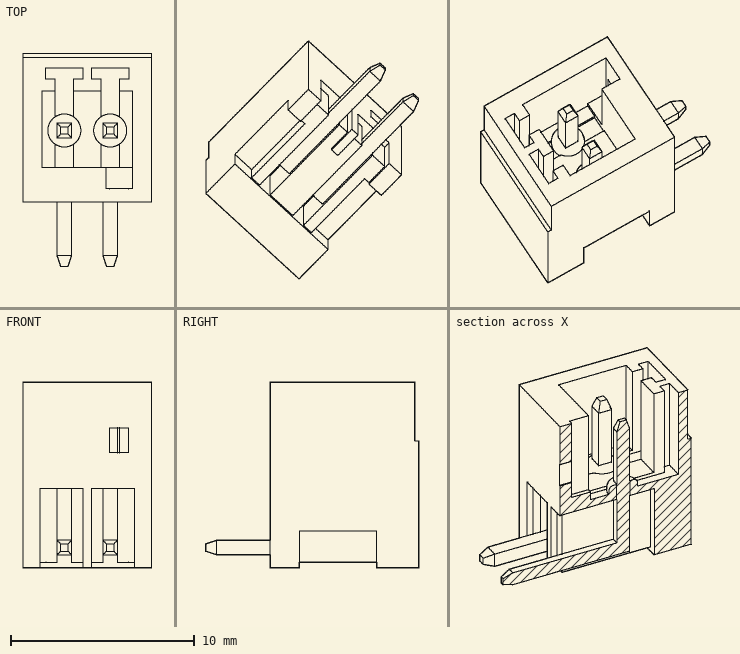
import cadquery as cq


OVERALL_DEPTH = 11.6
HOUSING_WIDTH = 7.0
HOUSING_DEPTH = 8.1
HOUSING_HEIGHT = 10.1
BACK_STEP_DEPTH = 0.22
BACK_STEP_HEIGHT = 3.2

PIN_PITCH = 2.49
PIN_WIDTH = 0.8
PIN_TIP_WIDTH = 0.41
PIN_TIP_LENGTH = 0.6
PIN_PROJECTION = OVERALL_DEPTH - HOUSING_DEPTH
PIN_UPRIGHT_Y = 3.9
PIN_LEG_Z = 1.1
PIN_TOP = 9.3
PIN_CENTRES = (-PIN_PITCH / 2, PIN_PITCH / 2)
PIN_BACK_Y = PIN_UPRIGHT_Y + PIN_WIDTH / 2

CAVITY_WIDTH = 4.94
CAVITY_FRONT_Y = 1.89
CAVITY_BACK_Y = 6.04
CAVITY_FLOOR = 5.0

KEY_WIDTH = 1.46
KEY_FRONT_Y = 0.73
KEY_FLOOR_RISE = 0.3
WINDOW_LEFT = 1.21
WINDOW_WIDTH = 1.04
WINDOW_BOTTOM = 6.26
WINDOW_HEIGHT = 1.35

CHANNEL_WIDTH = 1.0
CHANNEL_SINK = 0.2
CHANNEL_FLOOR = CAVITY_FLOOR - CHANNEL_SINK
CHANNEL_HEAD_WIDTH = 2.03
CHANNEL_HEAD_FRONT_Y = 6.69
CHANNEL_HEAD_BACK_Y = 7.28

BOSS_DIAMETER = 1.8
BOSS_ROUNDING = 0.3
BOSS_TOP = CAVITY_FLOOR + BOSS_ROUNDING

FRONT_RECESS_INNER = 0.23
FRONT_RECESS_OUTER = 2.56
FRONT_RECESS_DEPTH = 0.35
FRONT_RECESS_TOP = 4.3
UNDERSIDE_HEIGHT = 0.3
FOOT_FRONT_DEPTH = 1.6
FOOT_BACK_Y = 5.8
SIDE_CUT_DEPTH = 1.25
SIDE_CUT_TOP = 2.0


def block(x_range, y_range, z_range):
    """Box between two limits along each axis."""
    (x0, x1), (y0, y1), (z0, z1) = x_range, y_range, z_range
    return cq.Workplane("XY").box(x1 - x0, y1 - y0, z1 - z0, centered=False).translate((x0, y0, z0))


def around(centre, width):
    """Limits of a width centred on a position."""
    return centre - width / 2, centre + width / 2


def make_shell():
    """Plain outer block with the shallow step across its back."""
    half_width = HOUSING_WIDTH / 2
    step_y = HOUSING_DEPTH - BACK_STEP_DEPTH
    step_z = HOUSING_HEIGHT - BACK_STEP_HEIGHT
    profile = [
        (0, 0),
        (HOUSING_DEPTH, 0),
        (HOUSING_DEPTH, step_z),
        (step_y, step_z),
        (step_y, HOUSING_HEIGHT),
        (0, HOUSING_HEIGHT),
    ]
    return cq.Workplane("YZ").polyline(profile).close().extrude(half_width, both=True)


def cut_cavity(housing):
    """Mating cavity with its key slot and the window through the front wall."""
    cavity_x = around(0, CAVITY_WIDTH)
    depth_z = (CAVITY_FLOOR, HOUSING_HEIGHT)
    key_x = (cavity_x[1] - KEY_WIDTH, cavity_x[1])
    key_z = (CAVITY_FLOOR + KEY_FLOOR_RISE, HOUSING_HEIGHT)
    window_x = (WINDOW_LEFT, WINDOW_LEFT + WINDOW_WIDTH)
    window_z = (WINDOW_BOTTOM, WINDOW_BOTTOM + WINDOW_HEIGHT)
    housing = housing.cut(block(cavity_x, (CAVITY_FRONT_Y, CAVITY_BACK_Y), depth_z))
    housing = housing.cut(block(key_x, (KEY_FRONT_Y, CAVITY_FRONT_Y), key_z))
    return housing.cut(block(window_x, (0, KEY_FRONT_Y), window_z))


def cut_channel(housing, x):
    """T-shaped channel that runs from the cavity front, past the pin, into the back wall."""
    depth_z = (CHANNEL_FLOOR, HOUSING_HEIGHT)
    stem = block(around(x, CHANNEL_WIDTH), (CAVITY_FRONT_Y, CHANNEL_HEAD_BACK_Y), depth_z)
    head_y = (CHANNEL_HEAD_FRONT_Y, CHANNEL_HEAD_BACK_Y)
    head = block(around(x, CHANNEL_HEAD_WIDTH), head_y, depth_z)
    return housing.cut(stem.union(head))


def add_boss(housing, x):
    """Boss with a rounded rim, standing on the channel floor."""
    boss = (
        cq.Workplane("XY", origin=(x, PIN_UPRIGHT_Y, CHANNEL_FLOOR))
        .circle(BOSS_DIAMETER / 2)
        .extrude(BOSS_TOP - CHANNEL_FLOOR)
        .faces(">Z")
        .edges()
        .fillet(BOSS_ROUNDING)
    )
    return housing.union(boss)


def cut_underside(housing):
    """Clearance between the front and back feet, and the deeper cut into each side."""
    gap_y = (FOOT_FRONT_DEPTH, FOOT_BACK_Y)
    half_width = HOUSING_WIDTH / 2
    inner_x = half_width - SIDE_CUT_DEPTH
    housing = housing.cut(block((-half_width, half_width), gap_y, (0, UNDERSIDE_HEIGHT)))
    for side_x in ((-half_width, -inner_x), (inner_x, half_width)):
        housing = housing.cut(block(side_x, gap_y, (0, SIDE_CUT_TOP)))
    return housing


def cut_front_recesses(housing):
    """Shallow recess in front of each pin, open through the front foot below."""
    left_x = (-FRONT_RECESS_OUTER, -FRONT_RECESS_INNER)
    right_x = (FRONT_RECESS_INNER, FRONT_RECESS_OUTER)
    for recess_x in (left_x, right_x):
        housing = housing.cut(block(recess_x, (0, FRONT_RECESS_DEPTH), (0, FRONT_RECESS_TOP)))
        housing = housing.cut(block(recess_x, (0, FOOT_FRONT_DEPTH), (0, UNDERSIDE_HEIGHT)))
    return housing


def cut_pin_passage(housing, x):
    """Slot from the front face to the back foot, and the square hole for the pin's upright."""
    pin_x = around(x, PIN_WIDTH)
    slot = block(pin_x, (0, FOOT_BACK_Y), (0, FRONT_RECESS_TOP))
    hole = block(pin_x, around(PIN_UPRIGHT_Y, PIN_WIDTH), (FRONT_RECESS_TOP, BOSS_TOP))
    return housing.cut(slot).cut(hole)


def make_housing():
    housing = cut_cavity(make_shell())
    housing = cut_underside(housing)
    housing = cut_front_recesses(housing)
    for x in PIN_CENTRES:
        housing = cut_channel(housing, x)
        housing = add_boss(housing, x)
        housing = cut_pin_passage(housing, x)
    return housing


def make_bar(plane, length):
    """Square bar along the plane's normal, ending in a tapered tip."""
    straight = length - PIN_TIP_LENGTH
    bar = cq.Workplane(plane).rect(PIN_WIDTH, PIN_WIDTH).extrude(straight)
    tip = (
        cq.Workplane(plane)
        .workplane(offset=straight)
        .rect(PIN_WIDTH, PIN_WIDTH)
        .workplane(offset=PIN_TIP_LENGTH)
        .rect(PIN_TIP_WIDTH, PIN_TIP_WIDTH)
        .loft(ruled=True)
    )
    return bar.union(tip)


def make_pin(x):
    """Right-angled pin: one leg forward out of the housing, one upright into the cavity."""
    leg_start = (x, PIN_BACK_Y, PIN_LEG_Z)
    leg_plane = cq.Plane(leg_start, xDir=(1, 0, 0), normal=(0, -1, 0))
    leg = make_bar(leg_plane, PIN_BACK_Y + PIN_PROJECTION)
    pin_bottom = PIN_LEG_Z - PIN_WIDTH / 2
    upright_start = (x, PIN_UPRIGHT_Y, pin_bottom)
    upright = make_bar(cq.Plane(upright_start), PIN_TOP - pin_bottom)
    return leg.union(upright)


housing = make_housing()
pins = [make_pin(x) for x in PIN_CENTRES]

result = cq.Compound.makeCompound([housing.val(), *[pin.val() for pin in pins]])